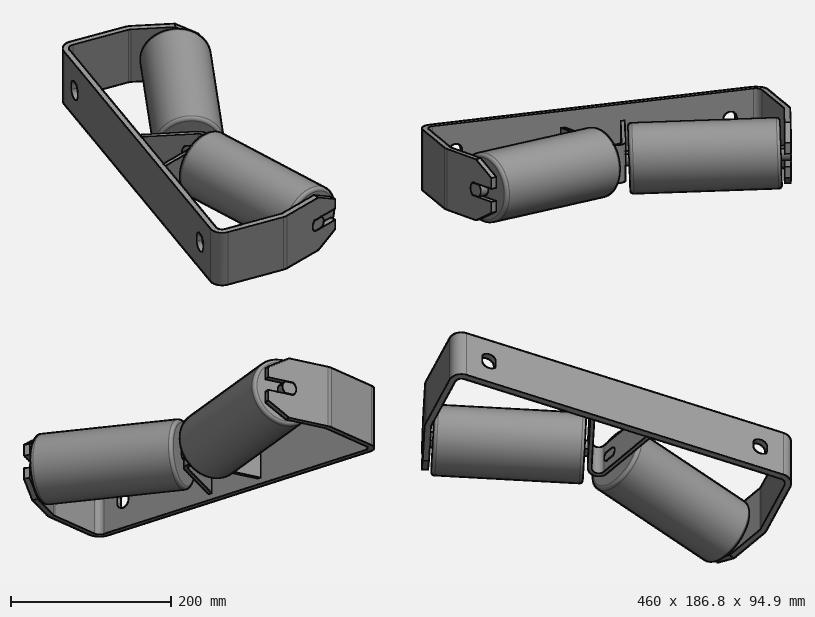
import cadquery as cq
import math


frame_width = 460.0
frame_height = 80.0
strip_thickness = 8.0
bend_radius = 16.0
splay_angle = 20.0
arm_bend_y = 93.0
arm_tip_y = 179.0
tip_chamfer_length = 30.0
tip_chamfer_angle = 30.0

mount_slot_x = 183.0
mount_slot_width = 18.5
mount_slot_height = 26.0

support_thickness = 5.0
support_height = 50.0
support_bend_radius = 14.0
support_top_y = 98.5

roller_diameter = 89.0
roller_fillet = 4.5
roller_tilt = 1.9
arm_gap = 4.5
support_gap = 4.0
seat_y = 150.5
shaft_diameter = 20.0
shaft_flat_width = 15.5
seat_width = 17.0
cut_margin = 4.5

splay = math.radians(splay_angle)
tilt = math.radians(roller_tilt)
sin_splay = math.sin(splay)
cos_splay = math.cos(splay)
tan_splay = math.tan(splay)

across_arm = cq.Vector(cos_splay, -sin_splay, 0)
along_arm = cq.Vector(sin_splay, cos_splay, 0)
shaft_axis = across_arm * math.cos(tilt) + cq.Vector(0, 0, -math.sin(tilt))

side_bend_x = -frame_width / 2 + bend_radius
arm_start_x = side_bend_x - bend_radius * cos_splay
arm_start_y = arm_bend_y + bend_radius * sin_splay
seat_point = cq.Vector(arm_start_x + (seat_y - arm_start_y) * tan_splay, seat_y, 0)

support_bend_y = support_top_y - support_bend_radius
support_bend_center = cq.Vector(0, support_bend_y, 0)
face_distance = across_arm.dot(support_bend_center - seat_point) - support_bend_radius

support_center_z = -(face_distance + support_thickness / 2) * math.tan(tilt)


def mirrored(body):
    """Copy on the other side of the X = 0 plane."""
    return body.mirror("YZ")


def axis_workplane(distance):
    """Plane square to the left shaft, `distance` along it from the seat; local X points up the arm."""
    origin = seat_point + shaft_axis * distance
    return cq.Workplane(cq.Plane(origin=origin.toTuple(), xDir=along_arm.toTuple(), normal=shaft_axis.toTuple()))


def flatted_rod(start, length, flat_width):
    """Round rod on the left shaft axis with two flats facing up and down."""
    rod = axis_workplane(start).circle(shaft_diameter / 2).extrude(length)
    flats = axis_workplane(start).rect(shaft_diameter, flat_width).extrude(length)
    return rod.intersect(flats)


def bend_point(center_x, center_y, radius, angle):
    """Point on a bend of the left side; the angle is measured from -X, positive towards +Y."""
    return (center_x - radius * math.cos(angle), center_y + radius * math.sin(angle))


def frame_half():
    outer = bend_radius
    inner = bend_radius - strip_thickness
    corner_middle = -math.pi / 4
    arm_length = (arm_tip_y - arm_start_y) / cos_splay
    tip_outer = cq.Vector(arm_start_x, arm_start_y, 0) + along_arm * arm_length
    tip_inner = tip_outer + across_arm * strip_thickness

    def corner(radius, angle):
        return bend_point(side_bend_x, bend_radius, radius, angle)

    def arm_bend(radius, angle):
        return bend_point(side_bend_x, arm_bend_y, radius, angle)

    return (
        cq.Workplane("XY")
        .moveTo(0, 0)
        .lineTo(side_bend_x, 0)
        .threePointArc(corner(outer, corner_middle), corner(outer, 0))
        .lineTo(*arm_bend(outer, 0))
        .threePointArc(arm_bend(outer, splay / 2), arm_bend(outer, splay))
        .lineTo(tip_outer.x, tip_outer.y)
        .lineTo(tip_inner.x, tip_inner.y)
        .lineTo(*arm_bend(inner, splay))
        .threePointArc(arm_bend(inner, splay / 2), arm_bend(inner, 0))
        .lineTo(*corner(inner, 0))
        .threePointArc(corner(inner, corner_middle), (side_bend_x, strip_thickness))
        .lineTo(0, strip_thickness)
        .close()
        .extrude(frame_height / 2, both=True)
    )


def tip_chamfer(side):
    """Wedge off the upper (side = 1) or lower (side = -1) corner of the left arm tip."""
    arm_face = cq.Plane(origin=seat_point.toTuple(), xDir=along_arm.toTuple(), normal=across_arm.toTuple())
    tip = (arm_tip_y - seat_y) / cos_splay
    edge = side * frame_height / 2
    drop = side * tip_chamfer_length * math.tan(math.radians(tip_chamfer_angle))
    return (
        cq.Workplane(arm_face)
        .moveTo(tip, edge)
        .lineTo(tip - tip_chamfer_length, edge)
        .lineTo(tip, edge - drop)
        .close()
        .extrude(strip_thickness)
    )


def shaft_seat():
    """Slot in the left arm, open at the tip, with a round bottom that fits the shaft."""
    start = -cut_margin
    depth = strip_thickness + 2 * cut_margin
    mouth_length = (arm_tip_y - seat_y) / cos_splay + cut_margin
    mouth = (
        axis_workplane(start)
        .center(mouth_length / 2, 0)
        .rect(mouth_length, seat_width)
        .extrude(depth)
    )
    return flatted_rod(start, depth, seat_width).union(mouth)


def mount_slot():
    return (
        cq.Workplane("XZ")
        .center(-mount_slot_x, 0)
        .slot2D(mount_slot_height, mount_slot_width, 90)
        .extrude(-strip_thickness)
    )


def build_frame():
    half = frame_half()
    for side in (1, -1):
        half = half.cut(tip_chamfer(side))
    half = half.cut(shaft_seat()).cut(mount_slot())
    return half.union(mirrored(half)).clean()


def support_wedge(radius):
    """Solid wedge with a rounded top, standing on the inside of the back plate."""
    tangent_x = radius * cos_splay
    tangent_y = support_bend_y + radius * sin_splay
    foot_x = tangent_x + (tangent_y - strip_thickness) * tan_splay
    return (
        cq.Workplane("XY", origin=(0, 0, support_center_z))
        .moveTo(-foot_x, strip_thickness)
        .lineTo(-tangent_x, tangent_y)
        .threePointArc((0, support_bend_y + radius), (tangent_x, tangent_y))
        .lineTo(foot_x, strip_thickness)
        .close()
        .extrude(support_height / 2, both=True)
    )


def build_support():
    strip = support_wedge(support_bend_radius).cut(support_wedge(support_bend_radius - support_thickness))
    hole = flatted_rod(face_distance - cut_margin, support_thickness + 2 * cut_margin, shaft_flat_width)
    return strip.cut(hole).cut(mirrored(hole))


def build_roller(side):
    """Roller and shaft as one body, on the left (side = -1) or the right (side = 1)."""
    start = strip_thickness + arm_gap
    length = face_distance - start - support_gap
    drum = axis_workplane(start).circle(roller_diameter / 2).extrude(length)
    drum = drum.edges("%CIRCLE").fillet(roller_fillet)
    shaft_length = (face_distance + support_thickness) / math.cos(tilt)
    roller = drum.union(flatted_rod(0, shaft_length, shaft_flat_width))
    return roller if side < 0 else mirrored(roller)


frame = build_frame()
support = build_support()
rollers = [build_roller(side) for side in (-1, 1)]

result = cq.Compound.makeCompound([frame.val(), support.val(), *[roller.val() for roller in rollers]])